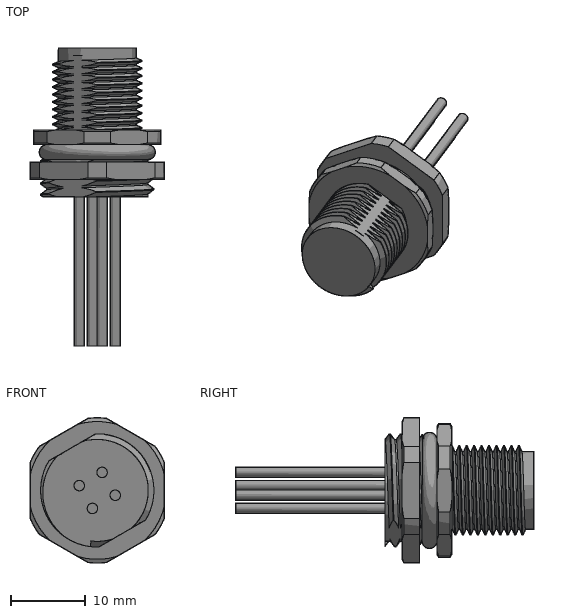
import cadquery as cq


TIP_COLLAR_END = 1.0
NUT_START = 11.0
NUT_END = NUT_START + 2.0
REAR_THREAD_START = NUT_END + 1.95
FLANGE_START = 15.3
FLANGE_END = 17.7
BODY_END = 20.0
WIRE_END = 40.0

PLUG_CREST_RADIUS = 6.0
PLUG_ROOT_RADIUS = 5.25
PLUG_PITCH = 1.0
PLUG_THREAD_BASE = 0.9
PLUG_CREST_AT_ZERO = 0.75
PLUG_THREAD_START_ANGLE = 222.0
PLUG_THREAD_END_ANGLE = 4080.0
PLUG_FLAT_DISTANCE = 5.2

REAR_CREST_RADIUS = 7.6
REAR_ROOT_RADIUS = 6.85
REAR_PITCH = 1.5 * PLUG_PITCH
REAR_THREAD_BASE = 1.4
REAR_CREST_AT_ZERO = 15.95
REAR_THREAD_START_ANGLE = -450.0
REAR_THREAD_END_ANGLE = 983.0
REAR_FLAT_DISTANCE = 6.7

CREST_WIDTH = 0.1
THREAD_ROOT_OVERLAP = 0.1
FLAT_ANGLE = 120.0

NUT_ACROSS_FLATS = 17.05
NUT_CORNER_RADIUS = 9.0
NUT_FACE_RADIUS = 8.6
FLANGE_ACROSS_FLATS = 18.0
FLANGE_CORNER_RADIUS = 9.75
FLANGE_FACE_RADIUS = 9.25
HEX_CHAMFER_HEIGHT = 0.25

SEAL_SECTION_RADIUS = 1.0
SEAL_OUTER_RADIUS = 7.8

WIRE_COUNT = 4
WIRE_RADIUS = 1.4 / 2
WIRE_CIRCLE_RADIUS = 5.0 / 2
WIRE_FIRST_ANGLE = 75.0


def cylinder(radius, start, end):
    return cq.Workplane("XY").workplane(offset=start).circle(radius).extrude(end - start)


def thread_ridge(root, crest, pitch, base, crest_at_zero, start_angle, end_angle):
    """Right-handed trapezoidal ridge whose crest passes crest_at_zero at zero angle."""
    rise = pitch * (end_angle - start_angle) / 360
    inner = root - THREAD_ROOT_OVERLAP
    profile = [
        (inner, -base / 2),
        (crest, -CREST_WIDTH / 2),
        (crest, CREST_WIDTH / 2),
        (inner, base / 2),
    ]
    edges = [
        cq.Wire.makeHelix(pitch, rise, radius).translate(cq.Vector(0, 0, height))
        for radius, height in profile
    ]
    faces = []
    for edge, next_edge in zip(edges, edges[1:] + edges[:1]):
        faces += cq.Face.makeRuledSurface(edge, next_edge).Faces()
    for corners in ([edge.startPoint() for edge in edges], [edge.endPoint() for edge in edges]):
        faces.append(cq.Face.makeFromWires(cq.Wire.makePolygon(corners, close=True)))
    ridge = cq.Workplane(cq.Solid.makeSolid(cq.Shell.makeShell(faces)))
    start_height = crest_at_zero + pitch * start_angle / 360
    return ridge.rotate((0, 0, 0), (0, 0, 1), start_angle).translate((0, 0, start_height))


def flat_cutter(distance, angle, start, end):
    """Block covering everything beyond a flat that lies at the given distance and angle."""
    size = 2 * FLANGE_CORNER_RADIUS
    block = cq.Workplane("XY").box(size, size, end - start, centered=(False, True, False))
    return block.translate((distance, 0, start)).rotate((0, 0, 0), (0, 0, 1), angle)


def hexagon(across_flats, corner_radius, face_radius, start, end, chamfer_start):
    """Hexagon with flats facing +-X, its corners turned round and its faces chamfered."""
    blank = (
        cq.Workplane("XY")
        .workplane(offset=start)
        .polygon(6, across_flats, circumscribed=True)
        .extrude(end - start)
    )
    outline = [(0, start)]
    if chamfer_start:
        outline += [(face_radius, start), (corner_radius, start + HEX_CHAMFER_HEIGHT)]
    else:
        outline += [(corner_radius, start)]
    outline += [(corner_radius, end - HEX_CHAMFER_HEIGHT), (face_radius, end), (0, end)]
    turned = cq.Workplane("XZ").polyline(outline).close().revolve(360, (0, 0, 0), (0, 1, 0))
    return blank.intersect(turned)


def plug():
    ridge = thread_ridge(
        PLUG_ROOT_RADIUS, PLUG_CREST_RADIUS, PLUG_PITCH, PLUG_THREAD_BASE,
        PLUG_CREST_AT_ZERO, PLUG_THREAD_START_ANGLE, PLUG_THREAD_END_ANGLE,
    )
    core = cylinder(PLUG_ROOT_RADIUS, 0, FLANGE_START)
    flat = flat_cutter(PLUG_FLAT_DISTANCE, FLAT_ANGLE, TIP_COLLAR_END, NUT_END)
    return core.union(ridge, clean=False).cut(flat, clean=False)


def seal():
    middle = SEAL_OUTER_RADIUS - SEAL_SECTION_RADIUS
    height = NUT_END + SEAL_SECTION_RADIUS
    ring = (
        cq.Workplane("XZ")
        .center(middle, height)
        .circle(SEAL_SECTION_RADIUS)
        .revolve(360, (-middle, 0, 0), (-middle, 1, 0))
    )
    return ring.union(cylinder(middle, NUT_END, FLANGE_START))


def rear():
    ridge = thread_ridge(
        REAR_ROOT_RADIUS, REAR_CREST_RADIUS, REAR_PITCH, REAR_THREAD_BASE,
        REAR_CREST_AT_ZERO, REAR_THREAD_START_ANGLE, REAR_THREAD_END_ANGLE,
    )
    bar = cylinder(REAR_ROOT_RADIUS, NUT_END, BODY_END + REAR_PITCH).union(ridge, clean=False)
    body = bar.intersect(cylinder(FLANGE_CORNER_RADIUS, REAR_THREAD_START, BODY_END), clean=False)
    for angle in (FLAT_ANGLE, FLAT_ANGLE + 180):
        body = body.cut(flat_cutter(REAR_FLAT_DISTANCE, angle, NUT_END, WIRE_END), clean=False)
    return body


def wires():
    return (
        cq.Workplane("XY")
        .workplane(offset=FLANGE_START)
        .polarArray(WIRE_CIRCLE_RADIUS, WIRE_FIRST_ANGLE, 360, WIRE_COUNT)
        .circle(WIRE_RADIUS)
        .extrude(WIRE_END - FLANGE_START)
    )


nut = hexagon(NUT_ACROSS_FLATS, NUT_CORNER_RADIUS, NUT_FACE_RADIUS, NUT_START, NUT_END, True)
flange = hexagon(
    FLANGE_ACROSS_FLATS, FLANGE_CORNER_RADIUS, FLANGE_FACE_RADIUS, FLANGE_START, FLANGE_END, False
)

connector = plug()
for piece in (nut, seal(), flange, rear(), wires()):
    connector = connector.union(piece, clean=False)
result = connector.rotate((0, 0, 0), (1, 0, 0), 90)